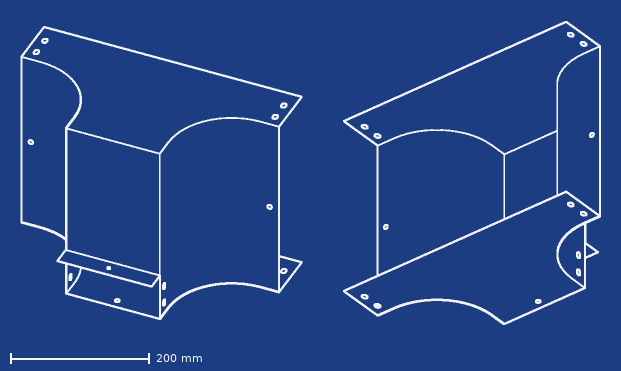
import cadquery as cq
import math

thickness = 1.0
height = 300.0
neck_width = 150.0
bend_radius = 100.0
end_length = 30.0
wing_depth = 80.0
opening_height = 80.0
lip_bottom_z = opening_height - thickness

half_neck = neck_width / 2
half_length = half_neck + bend_radius + end_length
back_y = 0.0
wing_y = back_y - wing_depth
bend_end_y = wing_y - bend_radius
neck_y = bend_end_y - end_length
lip_y = neck_y - end_length

wall_hole_diameter = 7.0
lip_hole_diameter = 5.0
floor_hole_diameter = 7.0
slot_width = 7.0
slot_length = 10.0
slot_angle = 90.0
slot_pitch = 30.0
hole_edge_distance = end_length / 2
plate_slot_ys = [back_y - slot_pitch, back_y - 2 * slot_pitch]
lowest_wall_slot_z = 20.0
wall_slot_zs = [lowest_wall_slot_z, lowest_wall_slot_z + slot_pitch]
end_hole_x = half_length - hole_edge_distance
neck_hole_y = neck_y + hole_edge_distance
lip_hole_y = neck_y - hole_edge_distance


def tee_block():
    """Solid block filling the whole tee outline over the full height."""
    bend_center_x = half_neck + bend_radius
    diagonal = bend_radius * math.sqrt(0.5)
    arc_mid_x = bend_center_x - diagonal
    arc_mid_y = bend_end_y + diagonal
    return (
        cq.Workplane("XY")
        .moveTo(-half_length, back_y)
        .lineTo(half_length, back_y)
        .lineTo(half_length, wing_y)
        .lineTo(bend_center_x, wing_y)
        .threePointArc((arc_mid_x, arc_mid_y), (half_neck, bend_end_y))
        .lineTo(half_neck, neck_y)
        .lineTo(-half_neck, neck_y)
        .lineTo(-half_neck, bend_end_y)
        .threePointArc((-arc_mid_x, arc_mid_y), (-bend_center_x, wing_y))
        .lineTo(-half_length, wing_y)
        .close()
        .extrude(height)
    )


def hollow_tee():
    """Floor, roof and side walls; the back, the wing ends and the neck end are open."""
    return tee_block().faces(">Y or <Y or <X or >X").shell(-thickness)


def end_cover():
    """Angle plate set against the neck end: an upright panel with a lip along its foot."""
    profile = [
        (neck_y, height),
        (neck_y, lip_bottom_z),
        (lip_y, lip_bottom_z),
        (lip_y, opening_height),
        (neck_y - thickness, opening_height),
        (neck_y - thickness, height),
    ]
    return cq.Workplane("YZ").polyline(profile).close().extrude(half_neck, both=True)


def plate_slots():
    """Slots through floor and roof near both wing ends."""
    points = [(side * end_hole_x, y) for side in (-1, 1) for y in plate_slot_ys]
    return cq.Workplane("XY").pushPoints(points).slot2D(slot_length, slot_width, slot_angle).extrude(height)


def neck_side_slots():
    """Upright slots through both side walls of the neck."""
    points = [(neck_hole_y, z) for z in wall_slot_zs]
    return (
        cq.Workplane("YZ")
        .pushPoints(points)
        .slot2D(slot_length, slot_width, slot_angle)
        .extrude(half_neck, both=True)
    )


def wing_wall_holes():
    """Round hole at mid height near the outer end of each wing wall."""
    points = [(side * end_hole_x, height / 2) for side in (-1, 1)]
    return (
        cq.Workplane("XZ", origin=(0, back_y, 0))
        .pushPoints(points)
        .circle(wall_hole_diameter / 2)
        .extrude(wing_depth)
    )


def upright_hole(y, z, diameter):
    """Vertical drill on the centre plane, through one sheet that starts at height z."""
    return cq.Workplane("XY", origin=(0, y, z)).circle(diameter / 2).extrude(thickness)


result = (
    hollow_tee()
    .union(end_cover())
    .cut(plate_slots())
    .cut(neck_side_slots())
    .cut(wing_wall_holes())
    .cut(upright_hole(lip_hole_y, lip_bottom_z, lip_hole_diameter))
    .cut(upright_hole(neck_hole_y, 0, floor_hole_diameter))
)